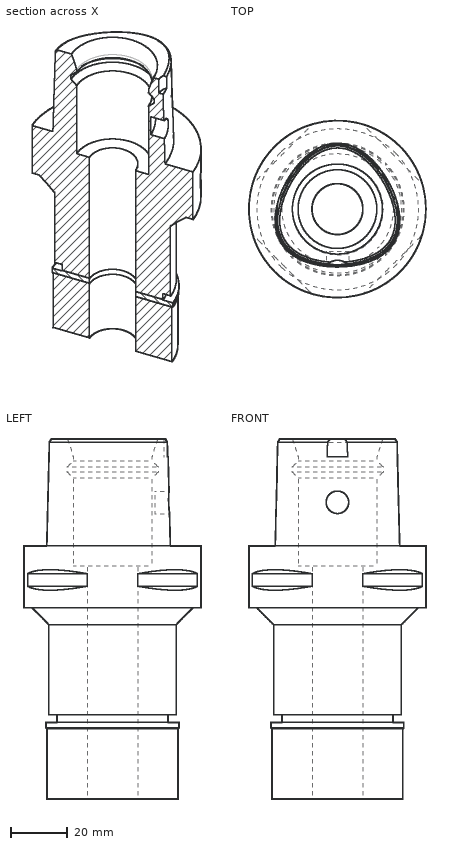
import cadquery as cq
import math

COLLAR_BOTTOM_Z = 25.0
COLLAR_TOP_Z = 27.3
SLEEVE_BOTTOM_Z = 30.0
SLEEVE_TOP_Z = 62.0
FLANGE_BOTTOM_Z = 68.0
FLANGE_TOP_Z = 90.0
SHANK_LENGTH = 38.0
SHANK_TOP_Z = FLANGE_TOP_Z + SHANK_LENGTH

NUT_RADIUS = 23.3
COLLAR_RADIUS = 23.65
NECK_RADIUS = 19.8
SLEEVE_RADIUS = 22.7
FLANGE_RADIUS = 31.5
CONE_TOP_RADIUS = SLEEVE_RADIUS + (FLANGE_BOTTOM_Z - SLEEVE_TOP_Z)

SHANK_MEAN_RADIUS = 22.0
SHANK_ECCENTRICITY = 1.4
SHANK_TAPER = 1 / 20
SHANK_CHAMFER_HEIGHT = 1.2
SHANK_CHAMFER_WIDTH = 0.75
SHANK_OUTLINE_POINTS = 48

THROUGH_RADIUS = 9.0
BORE_RADIUS = 14.0
BORE_DEPTH = 45.0
MOUTH_RADIUS = 16.0
MOUTH_DEPTH = 6.2
GROOVE_RADIUS = 16.2
GROOVE_FLANK = GROOVE_RADIUS - BORE_RADIUS
GROOVE_WALL_TOP_DEPTH = 9.9
GROOVE_WALL_BOTTOM_DEPTH = 11.6

NOTCH_WIDTH = 7.4
NOTCH_ARC_RISE = 1.5
NOTCH_INNER_Y = -18.2
NOTCH_DEPTH = 6.3
HOLE_RADIUS = 4.0
HOLE_DEPTH_FROM_TOP = 22.5
HOLE_Z = SHANK_TOP_Z - HOLE_DEPTH_FROM_TOP
HOLE_FLOOR_Y = -15.0

SLOT_COUNT = 4
SLOT_Z = 77.9
SLOT_FLOOR_DISTANCE = 27.7
SLOT_FLOOR_HEIGHT = 4.4
SLOT_MOUTH_HEIGHT = 7.3


def revolved(profile):
    """Solid of revolution about Z from (radius, height) points."""
    return cq.Workplane("XZ").polyline(profile).close().revolve(360, (0, 0, 0), (0, 1, 0))


def shank_wire(height, inset):
    """Closed trochoid outline with its flat lobe toward -Y and its apex toward +Y."""
    mean = SHANK_MEAN_RADIUS - inset
    points = []
    for index in range(SHANK_OUTLINE_POINTS):
        angle = 2 * math.pi * index / SHANK_OUTLINE_POINTS
        x = mean * math.sin(angle) + SHANK_ECCENTRICITY * math.sin(2 * angle)
        y = -mean * math.cos(angle) + SHANK_ECCENTRICITY * math.cos(2 * angle)
        points.append(cq.Vector(x, y, height))
    return cq.Wire.assembleEdges([cq.Edge.makeSpline(points, periodic=True)])


def make_shank():
    """Tapered shank with a chamfered tip."""
    taper_height = SHANK_LENGTH - SHANK_CHAMFER_HEIGHT
    taper_inset = taper_height * SHANK_TAPER / 2
    base = shank_wire(FLANGE_TOP_Z, 0)
    shoulder = shank_wire(FLANGE_TOP_Z + taper_height, taper_inset)
    tip = shank_wire(SHANK_TOP_Z, taper_inset + SHANK_CHAMFER_WIDTH)
    taper = cq.Solid.makeLoft([base, shoulder], True)
    chamfer = cq.Solid.makeLoft([shoulder, tip], True)
    return cq.Workplane(taper).union(cq.Workplane(chamfer))


def make_bore():
    """Through hole, wide bore with a gripping groove, and tapered mouth, as one cutter."""
    top = SHANK_TOP_Z
    ledge = top - BORE_DEPTH
    return revolved([
        (0, COLLAR_TOP_Z),
        (THROUGH_RADIUS, COLLAR_TOP_Z),
        (THROUGH_RADIUS, ledge),
        (BORE_RADIUS, ledge),
        (BORE_RADIUS, top - GROOVE_WALL_BOTTOM_DEPTH - GROOVE_FLANK),
        (GROOVE_RADIUS, top - GROOVE_WALL_BOTTOM_DEPTH),
        (GROOVE_RADIUS, top - GROOVE_WALL_TOP_DEPTH),
        (BORE_RADIUS, top - GROOVE_WALL_TOP_DEPTH + GROOVE_FLANK),
        (BORE_RADIUS, top - MOUTH_DEPTH),
        (MOUTH_RADIUS, top),
        (0, top),
    ])


def make_notch():
    """Straight-sided notch whose inner wall is a shallow concave arc."""
    half_width = NOTCH_WIDTH / 2
    corner_y = NOTCH_INNER_Y - NOTCH_ARC_RISE
    return (
        cq.Workplane("XY", origin=(0, 0, SHANK_TOP_Z - NOTCH_DEPTH))
        .moveTo(-half_width, -SHANK_MEAN_RADIUS)
        .lineTo(-half_width, corner_y)
        .threePointArc((0, NOTCH_INNER_Y), (half_width, corner_y))
        .lineTo(half_width, -SHANK_MEAN_RADIUS)
        .close()
        .extrude(NOTCH_DEPTH)
    )


def make_hole():
    """Flat-bottomed blind hole."""
    return (
        cq.Workplane("XZ", origin=(0, HOLE_FLOOR_Y, HOLE_Z))
        .circle(HOLE_RADIUS)
        .extrude(SHANK_MEAN_RADIUS + HOLE_FLOOR_Y)
    )


def make_slot(angle):
    """Trapezoidal slot cut square to the radius at the given angle."""
    half_floor = SLOT_FLOOR_HEIGHT / 2
    half_mouth = SLOT_MOUTH_HEIGHT / 2
    return (
        cq.Workplane("XZ")
        .polyline([
            (SLOT_FLOOR_DISTANCE, SLOT_Z - half_floor),
            (FLANGE_RADIUS, SLOT_Z - half_mouth),
            (FLANGE_RADIUS, SLOT_Z + half_mouth),
            (SLOT_FLOOR_DISTANCE, SLOT_Z + half_floor),
        ])
        .close()
        .extrude(FLANGE_RADIUS, both=True)
        .rotate((0, 0, 0), (0, 0, 1), angle)
    )


def make_holder():
    """Shank, slotted flange, sleeve and neck in one piece."""
    body = revolved([
        (0, COLLAR_TOP_Z),
        (NECK_RADIUS, COLLAR_TOP_Z),
        (NECK_RADIUS, SLEEVE_BOTTOM_Z),
        (SLEEVE_RADIUS, SLEEVE_BOTTOM_Z),
        (SLEEVE_RADIUS, SLEEVE_TOP_Z),
        (CONE_TOP_RADIUS, FLANGE_BOTTOM_Z),
        (FLANGE_RADIUS, FLANGE_BOTTOM_Z),
        (FLANGE_RADIUS, FLANGE_TOP_Z),
        (0, FLANGE_TOP_Z),
    ])
    body = body.union(make_shank()).cut(make_bore()).cut(make_notch()).cut(make_hole())
    for index in range(SLOT_COUNT):
        body = body.cut(make_slot((index + 0.5) * 360 / SLOT_COUNT))
    return body


def make_collar():
    """Narrow ring between holder and nut, chamfered down to the nut radius."""
    chamfer = COLLAR_RADIUS - NUT_RADIUS
    return revolved([
        (THROUGH_RADIUS, COLLAR_BOTTOM_Z),
        (NUT_RADIUS, COLLAR_BOTTOM_Z),
        (COLLAR_RADIUS, COLLAR_BOTTOM_Z + chamfer),
        (COLLAR_RADIUS, COLLAR_TOP_Z),
        (THROUGH_RADIUS, COLLAR_TOP_Z),
    ])


def make_nut():
    """Plain cylindrical nut at the nose."""
    return revolved([
        (THROUGH_RADIUS, 0),
        (NUT_RADIUS, 0),
        (NUT_RADIUS, COLLAR_BOTTOM_Z),
        (THROUGH_RADIUS, COLLAR_BOTTOM_Z),
    ])


holder = make_holder()
collar = make_collar()
nut = make_nut()

result = cq.Compound.makeCompound([holder.val(), collar.val(), nut.val()])